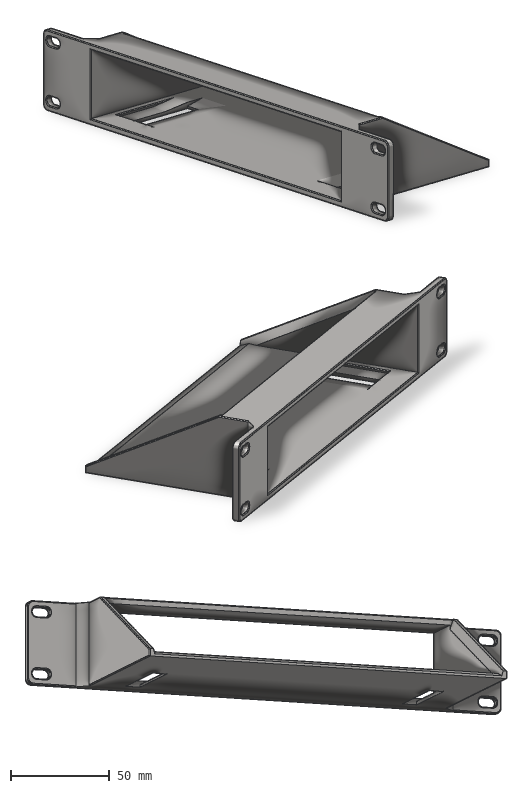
import cadquery as cq
width = 254.8
depth = 100.0
height = 43.0

plate_thickness = 4.0
plate_corner_radius = 3.0
edge_break = 0.5
floor_thickness = 3.3
hood_thickness = 3.0

slot_length = 9.7
slot_height = 5.0
slot_spacing_x = 240.0
slot_spacing_z = 31.8

body_width = 192.6
opening_width = 184.5
flare = 5.0
hood_depth = 25.0
wall_top_length = 25.5
rear_height = 3.8
wall_bevel_width = 1.8
wall_bevel_drop = 5.5
floor_bevel_length = 5.0
floor_bevel_drop = 2.0

pocket_front = 14.0
window_rear = 54.3
window_inner_x = 70.5
window_outer_x = 78.2
window_lip = 1.3
slope_run = 10.2
recess_outer_x = 88.7
recess_depth = 1.5
recess_ramp_length = 15.3

wall_slope = (height - rear_height) / (depth - wall_top_length)
opening_height = height - floor_thickness - hood_thickness


def face_plate():
    return (
        cq.Workplane("XY")
        .box(width, plate_thickness, height, centered=(True, False, False))
        .edges("|Y")
        .fillet(plate_corner_radius)
        .faces("<Y or >Y")
        .chamfer(edge_break)
    )


def tray_block():
    """Solid body with the flared front and the sloping top of the side walls."""
    half = body_width / 2
    straight_front = plate_thickness + flare
    flare_start = edge_break
    flare_half = half + straight_front - flare_start
    side_profile = (
        cq.Workplane("YZ")
        .polyline([
            (straight_front, 0),
            (depth, 0),
            (depth, rear_height),
            (wall_top_length, height),
            (straight_front, height),
        ])
        .close()
        .extrude(half, both=True)
    )
    straight_part = side_profile.faces("<X or >X").edges("not(<Y)").chamfer(edge_break)
    flared_part = (
        cq.Workplane("XY")
        .polyline([
            (-flare_half, flare_start),
            (flare_half, flare_start),
            (half, straight_front),
            (-half, straight_front),
        ])
        .close()
        .extrude(height)
    )
    return straight_part.union(flared_part)


def space_behind_hood(half_width):
    """Space above the floor and its rear bevel, from the hood to the rear end."""
    return (
        cq.Workplane("YZ")
        .polyline([
            (hood_depth, floor_thickness),
            (depth - floor_bevel_length, floor_thickness),
            (depth, floor_thickness - floor_bevel_drop),
            (depth, height),
            (hood_depth, height),
        ])
        .close()
        .extrude(half_width, both=True)
    )


def tray_cavity():
    """Opening through the plate, its chamfered front rim, and the open top behind the hood."""
    opening = (
        cq.Workplane("XY")
        .box(opening_width, hood_depth, opening_height, centered=(True, False, False))
        .translate((0, 0, floor_thickness))
    )
    front_rim = (
        cq.Workplane("XZ", origin=(0, 0, floor_thickness + opening_height / 2))
        .rect(opening_width + 2 * edge_break, opening_height + 2 * edge_break)
        .extrude(-edge_break, taper=45)
    )
    return opening.union(front_rim).union(space_behind_hood(opening_width / 2))


def hood_edge_break():
    """Chamfer along the top rear edge of the hood."""
    return (
        cq.Workplane("YZ")
        .polyline([
            (hood_depth - edge_break, height),
            (hood_depth, height),
            (hood_depth, height - edge_break),
        ])
        .close()
        .extrude(opening_width / 2 + wall_bevel_width, both=True)
    )


def wall_bevel(side):
    """Wedge along the inner top edge of a side wall, parallel to its sloping top."""
    inner = opening_width / 2
    outer = inner + wall_bevel_width
    start_height = height + wall_slope * (wall_top_length - hood_depth)
    slope_line = cq.Workplane("YZ").moveTo(hood_depth, start_height).lineTo(depth, rear_height)
    wedge = (
        cq.Workplane("XZ", origin=(0, hood_depth, start_height))
        .polyline([(side * inner, -wall_bevel_drop), (side * outer, 0), (side * inner, 0)])
        .close()
        .sweep(slope_line)
    )
    return wedge.intersect(space_behind_hood(outer))


def strap_pocket():
    """Window with two sloping sides and a ramped recess, on the +X side of the floor."""
    slope_inner_x = window_inner_x - slope_run
    slope_rear = window_rear + slope_run
    recess_floor = floor_thickness - recess_depth
    window = (
        cq.Workplane("XY")
        .box(window_outer_x - window_inner_x, window_rear - pocket_front, floor_thickness, centered=False)
        .translate((window_inner_x, pocket_front, 0))
    )

    slope_section = (
        cq.Workplane("XZ", origin=(0, pocket_front, 0))
        .polyline([
            (window_inner_x, window_lip),
            (slope_inner_x, floor_thickness),
            (window_outer_x, floor_thickness),
            (window_outer_x, window_lip),
        ])
        .close()
        .extrude(pocket_front - slope_rear)
    )
    slope_profile = (
        cq.Workplane("YZ", origin=(slope_inner_x, 0, 0))
        .polyline([
            (pocket_front, window_lip),
            (window_rear, window_lip),
            (slope_rear, floor_thickness),
            (pocket_front, floor_thickness),
        ])
        .close()
        .extrude(window_outer_x - slope_inner_x)
    )
    slopes = slope_section.intersect(slope_profile)

    recess_section = (
        cq.Workplane("XZ", origin=(0, pocket_front, 0))
        .polyline([
            (window_outer_x, 0),
            (recess_outer_x - edge_break, 0),
            (recess_outer_x - edge_break, floor_thickness - edge_break),
            (recess_outer_x, floor_thickness),
            (window_outer_x, floor_thickness),
        ])
        .close()
        .extrude(pocket_front - window_rear)
    )
    recess_profile = (
        cq.Workplane("YZ", origin=(window_outer_x, 0, 0))
        .polyline([
            (pocket_front, floor_thickness),
            (pocket_front, recess_floor),
            (window_rear - recess_ramp_length, recess_floor),
            (window_rear, floor_thickness),
        ])
        .close()
        .extrude(recess_outer_x - window_outer_x)
    )
    recess = recess_section.intersect(recess_profile)
    return window.union(slopes).union(recess)


def mounting_slots():
    """Four slots through the plate, with chamfered rims on both faces."""
    def slots(y, extra):
        return (
            cq.Workplane("XZ", origin=(0, y, height / 2))
            .rarray(slot_spacing_x, slot_spacing_z, 2, 2)
            .slot2D(slot_length + extra, slot_height + extra)
        )

    through = slots(0, 0).extrude(-plate_thickness)
    front_rims = slots(0, 2 * edge_break).extrude(-edge_break, taper=45)
    rear_rims = slots(plate_thickness, 2 * edge_break).extrude(edge_break, taper=45)
    return through.union(front_rims).union(rear_rims)


result = face_plate().union(tray_block())
result = result.cut(tray_cavity()).cut(hood_edge_break()).cut(mounting_slots())
for side in (-1, 1):
    result = result.cut(wall_bevel(side))

pocket = strap_pocket()
result = result.cut(pocket).cut(pocket.mirror("YZ"))